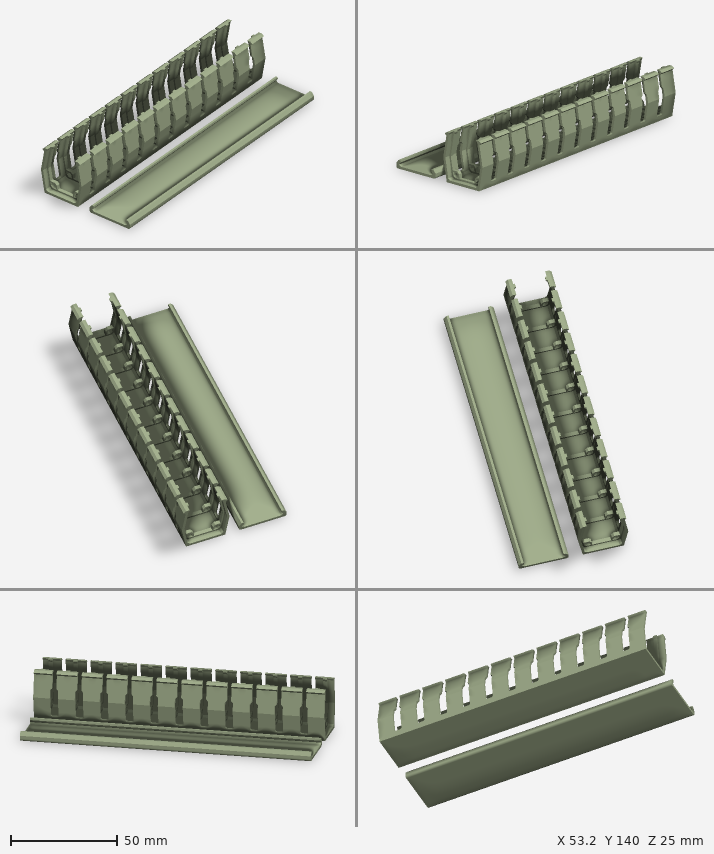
import cadquery as cq
import math

length = 140.0

duct_height = 25.0
duct_width = 24.2
duct_half_width = duct_width / 2
bend_height = 12.2
lean = math.tan(math.radians(10))
wall = 1.3
rib_rise = 0.8
floor_corner_chamfer = 1.0

rim_half_width = 11.2
rim_tip_drop = 1.0
rim_undercut_drop = 2.0
rim_top_outer = 10.0
rim_top_inner = 8.1
rim_inner_drop = 1.1
rib_rim_inner = 7.3
rib_rim_face = 0.5
rib_rim_drop = 1.5

slot_count = 11
first_slot = 10.0
pitch = (length - 2 * first_slot) / (slot_count - 1)
slot_bottom = 3.0
slot_width = 3.9
slot_corner_radius = 0.8
neck_width = 2.1
neck_height = 17.0
rib_count = slot_count + 1
rib_width = 2.0

loop_top = 5.5
loop_wall = 0.8
loop_flat_end = 6.0
loop_shoulder = 4.9
loop_shoulder_height = 4.3
loop_foot = 4.6
loop_foot_height = 0.7
loop_foot_wall = 0.4

body_gap = 4.8
cover_half_width = duct_half_width
cover_height = 4.3
cover_floor = 1.3
cover_base_radius = 1.1
cover_side_height = 2.7
cover_crest_outer = 10.8
cover_crest_inner = 9.7
cover_tip = 9.5
cover_tip_height = 3.4
cover_throat = 10.5
cover_throat_height = 2.1
cover_floor_half_width = 9.4
cover_center = duct_half_width + body_gap + cover_half_width


def half_width(z, inset):
    """Half-width of the bent wall at height z, measured to a face `inset` in from the outside."""
    return duct_half_width - inset - lean * abs(z - bend_height)


def extrude_symmetric(half_profile, y_length):
    """Extrude a profile drawn from the mid-plane outwards and back, with its mirror image."""
    half = half_profile.close().extrude(y_length / 2, both=True)
    return half.union(half.mirror("YZ"))


def spaced(count):
    """Y positions of `count` features at the common pitch, centred along the duct."""
    return [(i - (count - 1) / 2) * pitch for i in range(count)]


def channel(inset, y_length, rim_points):
    """Bent U-shaped channel whose inner faces sit `inset` in from the outside."""
    profile = (
        cq.Workplane("XZ")
        .lineTo(half_width(0, 0), 0)
        .lineTo(duct_half_width, bend_height)
        .lineTo(half_width(duct_height - rim_undercut_drop, 0), duct_height - rim_undercut_drop)
        .lineTo(rim_half_width, duct_height - rim_tip_drop)
        .lineTo(rim_top_outer, duct_height)
    )
    for point in rim_points:
        profile = profile.lineTo(*point)
    profile = (
        profile
        .lineTo(duct_half_width - inset, bend_height)
        .lineTo(half_width(inset, inset), inset)
        .lineTo(0, inset)
    )
    body = extrude_symmetric(profile, y_length)
    corner_x = half_width(inset, inset)
    reach = wall / 4
    for x in (-corner_x, corner_x):
        corner = cq.selectors.BoxSelector(
            (x - reach, -length, inset - reach), (x + reach, length, inset + reach)
        )
        body = body.edges(corner).chamfer(floor_corner_chamfer)
    return body


def shell():
    """The plain duct before ribs and slots."""
    under_rim = duct_height - rim_inner_drop
    return channel(wall, length, [
        (rim_top_inner, duct_height),
        (half_width(under_rim, wall), under_rim),
    ])


def loops():
    """A pair of corner loops, one against each wall, standing on the rib."""
    inset = wall + rib_rise
    hole_top = loop_top - loop_wall
    embed = rib_rise / 2
    bevel_setback = loop_wall / 2
    band = (
        cq.Workplane("XZ")
        .moveTo(loop_foot, inset - embed)
        .lineTo(loop_foot, inset)
        .lineTo(loop_shoulder, loop_shoulder_height)
        .lineTo(loop_flat_end, loop_top)
        .lineTo(half_width(loop_top, inset) + embed, loop_top)
        .lineTo(half_width(hole_top, inset) + embed, hole_top)
        .lineTo(loop_flat_end + bevel_setback, hole_top)
        .lineTo(loop_shoulder + loop_wall, loop_shoulder_height - bevel_setback)
        .lineTo(loop_shoulder + loop_wall, inset + loop_foot_height)
        .lineTo(loop_foot + loop_foot_wall, inset)
        .lineTo(loop_foot + loop_foot_wall, inset - embed)
    )
    return extrude_symmetric(band, rib_width)


def rib():
    """U-shaped band that thickens the walls and floor, with its corner loops."""
    inset = wall + rib_rise
    under_rim = duct_height - rib_rim_drop
    frame = channel(inset, rib_width, [
        (rib_rim_inner, duct_height),
        (rib_rim_inner, duct_height - rib_rim_face),
        (half_width(under_rim, inset), under_rim),
    ])
    return frame.union(loops())


def wall_slot():
    """Cutter for one slot through both walls: a wide lower part and a narrow neck, open at the top."""
    through = 2 * duct_width
    shoulder = (slot_width - neck_width) / 2
    wide_height = neck_height - shoulder - slot_bottom
    wide = (
        cq.Workplane("XY", origin=(0, 0, slot_bottom))
        .box(through, slot_width, wide_height, centered=(True, True, False))
        .faces("<Z").edges("|X").fillet(slot_corner_radius)
    )
    neck = (
        cq.Workplane("YZ")
        .moveTo(-slot_width / 2, neck_height - shoulder)
        .lineTo(-neck_width / 2, neck_height)
        .lineTo(-neck_width / 2, duct_height)
        .lineTo(neck_width / 2, duct_height)
        .lineTo(neck_width / 2, neck_height)
        .lineTo(slot_width / 2, neck_height - shoulder)
        .close()
        .extrude(through / 2, both=True)
    )
    return wide.union(neck)


def make_duct():
    body = shell()
    one_rib = rib()
    for y in spaced(rib_count):
        body = body.union(one_rib.translate((0, y, 0)))
    one_slot = wall_slot()
    for y in spaced(slot_count):
        body = body.cut(one_slot.translate((0, y, 0)))
    return body


def make_cover():
    """Shallow tray with inward-hooked edges."""
    profile = (
        cq.Workplane("XZ")
        .lineTo(cover_half_width - cover_base_radius, 0)
        .radiusArc((cover_half_width, cover_base_radius), -cover_base_radius)
        .lineTo(cover_half_width, cover_side_height)
        .lineTo(cover_crest_outer, cover_height)
        .lineTo(cover_crest_inner, cover_height)
        .lineTo(cover_tip, cover_tip_height)
        .lineTo(cover_throat, cover_throat_height)
        .lineTo(cover_floor_half_width, cover_floor)
        .lineTo(0, cover_floor)
    )
    return extrude_symmetric(profile, length).translate((cover_center, 0, 0))


duct = make_duct()
cover = make_cover()

result = cq.Compound.makeCompound([duct.solids().val(), cover.solids().val()])